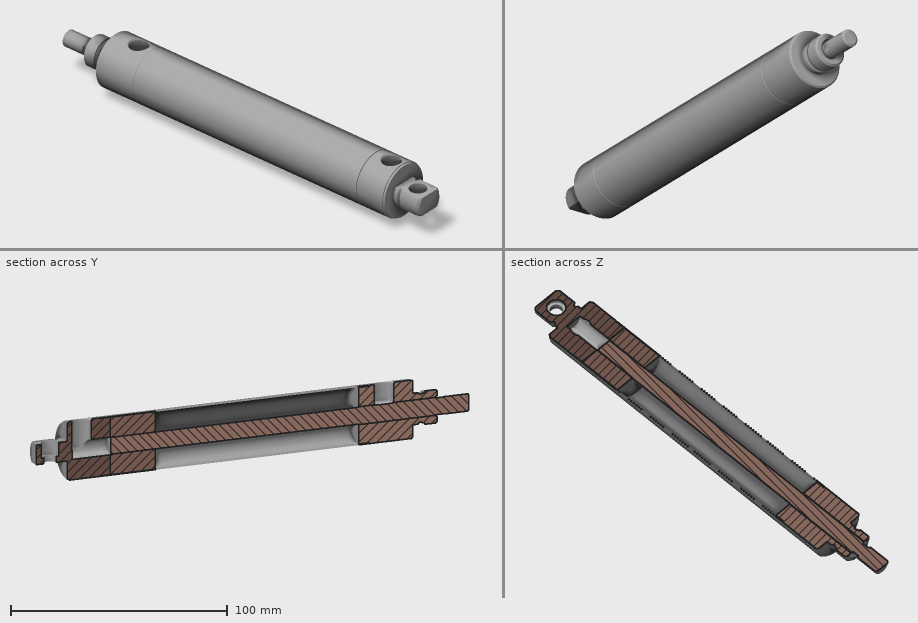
import cadquery as cq

overall_length = 219.0
body_radius = 14.13

wall = 0.5
bore_radius = body_radius - wall
tube_front = 51.0
tube_rear = 186.5

head_front = 28.5
head_bevel = 0.77
joint_bevel_length = 0.55
joint_bevel_depth = 0.2
spigot_length = 5.0

collar_radius = 8.0
collar_front = 16.0
collar_rear = 22.5
collar_bevel = 0.9
runout_radius = 7.2
runout_length = 1.5
relief_radius = 6.8
relief_length = 1.0
stub_radius = 7.7
stub_bevel = 0.7
rod_countersink_radius = 5.3
rod_countersink_depth = 1.0

cap_rear = 203.5
cap_step_length = 1.0
cap_step_radius = 13.5
cap_shoulder_bevel = 0.5
passage_radius = 4.2
passage_end_wall = 2.8

tang_thickness = 9.6
tang_stub_end = 205.5
tang_relief_radius = 6.5
tang_relief_bevel = 0.7
tang_front = 207.7
tang_end_bevel = 1.0
pin_x = 212.0
pin_hole_radius = 3.0
pin_counterbore_radius = 4.4
pin_counterbore_depth = 6.5

port_radius = 4.8
port_mouth_radius = 5.37
port_mouth_depth = 0.9
front_port_x = 43.2
rear_port_x = 196.0
front_port_depth = 9.6
drill_tip_height = 2.8

rod_radius = 4.2
stud_radius = 4.27
stud_length = 12.5
stud_bevel_length = 0.7
stud_tip_radius = 3.3
flats_length = collar_front - stud_length
flats_width = 6.8
piston_length = 22.8
piston_rear = tube_rear - spigot_length
piston_front = piston_rear - piston_length

clearance = 4 * body_radius


def turned(outline):
    """Solid of revolution about X, from (x, radius) points listed front to rear."""
    start = (outline[0][0], 0)
    end = (outline[-1][0], 0)
    profile = cq.Workplane("XY").polyline([start, *outline, end]).close()
    return profile.revolve(360, (0, 0, 0), (1, 0, 0))


def cylinder_along_x(radius, start, end):
    return cq.Workplane("YZ").workplane(offset=start).circle(radius).extrude(end - start)


def port(x, floor):
    """Vertical port with a countersunk mouth, from the floor height up to the top of the body."""
    mouth_floor = body_radius - port_mouth_depth
    bore = cq.Workplane("XY").workplane(offset=floor).center(x, 0).circle(port_radius)
    bore = bore.extrude(body_radius - floor)
    mouth = cq.Solid.makeCone(port_radius, port_mouth_radius, port_mouth_depth, cq.Vector(x, 0, mouth_floor))
    return bore.union(cq.Workplane(mouth))


def drill_tip(x, top):
    """Conical bottom of a drilled port, pointing down from the given height."""
    tip = cq.Vector(x, 0, top - drill_tip_height)
    return cq.Workplane(cq.Solid.makeCone(0, port_radius, drill_tip_height, tip))


def make_head():
    runout_end = collar_rear + runout_length
    relief_end = runout_end + relief_length
    spigot_rear = tube_front + spigot_length
    head = turned([
        (collar_front, collar_radius - collar_bevel),
        (collar_front + collar_bevel, collar_radius),
        (collar_rear, collar_radius),
        (collar_rear, runout_radius),
        (runout_end, runout_radius),
        (runout_end, relief_radius),
        (relief_end, relief_radius),
        (relief_end + stub_bevel, stub_radius),
        (head_front, stub_radius),
        (head_front, body_radius - head_bevel),
        (head_front + head_bevel, body_radius),
        (tube_front - joint_bevel_length, body_radius),
        (tube_front, body_radius - joint_bevel_depth),
        (tube_front, bore_radius),
        (spigot_rear, bore_radius),
    ])
    head = head.cut(cylinder_along_x(rod_radius, collar_front, spigot_rear))
    countersink = turned([
        (collar_front, rod_countersink_radius),
        (collar_front + rod_countersink_depth, rod_radius),
    ])
    port_floor = body_radius - front_port_depth
    head = head.cut(countersink).cut(port(front_port_x, port_floor))
    return head.cut(drill_tip(front_port_x, port_floor))


def make_tube():
    tube = turned([
        (tube_front, body_radius - joint_bevel_depth),
        (tube_front + joint_bevel_length, body_radius),
        (tube_rear, body_radius),
    ])
    return tube.cut(cylinder_along_x(bore_radius, tube_front, tube_rear))


def tang_side_cuts():
    """Material above and below the flat tang."""
    length = overall_length - cap_rear
    blank = cq.Workplane("XY").box(length, clearance, clearance, centered=(False, True, True))
    tang = cq.Workplane("XY").box(length, clearance, tang_thickness, centered=(False, True, True))
    return blank.cut(tang).translate((cap_rear, 0, 0))


def pin_hole():
    """Cross hole through the tang, counterbored from the top."""
    tang_top = tang_thickness / 2
    base = cq.Workplane("XY").workplane(offset=tang_top).center(pin_x, 0)
    hole = base.circle(pin_hole_radius).extrude(-tang_thickness)
    return hole.union(base.circle(pin_counterbore_radius).extrude(-pin_counterbore_depth))


def make_cap():
    spigot_front = tube_rear - spigot_length
    step_front = cap_rear - cap_step_length
    cap = turned([
        (spigot_front, bore_radius),
        (tube_rear, bore_radius),
        (tube_rear + cap_shoulder_bevel, body_radius),
        (step_front, body_radius),
        (step_front, cap_step_radius),
        (cap_rear, cap_step_radius),
        (cap_rear, stub_radius),
        (tang_stub_end, stub_radius),
        (tang_stub_end + tang_relief_bevel, tang_relief_radius),
        (tang_front - tang_relief_bevel, tang_relief_radius),
        (tang_front, collar_radius),
        (overall_length - tang_end_bevel, collar_radius),
        (overall_length, collar_radius - tang_end_bevel),
    ])
    passage = cylinder_along_x(passage_radius, spigot_front, cap_rear - passage_end_wall)
    return cap.cut(tang_side_cuts()).cut(pin_hole()).cut(passage).cut(port(rear_port_x, 0))


def make_rod():
    rod = turned([
        (0, stud_tip_radius),
        (stud_bevel_length, stud_radius),
        (stud_length, stud_radius),
        (stud_length, rod_radius),
        (piston_rear, rod_radius),
    ])
    blank = cq.Workplane("XY").box(flats_length, clearance, clearance, centered=(False, True, True))
    kept = cq.Workplane("XY").box(flats_length, flats_width, clearance, centered=(False, True, True))
    return rod.cut(blank.cut(kept).translate((stud_length, 0, 0)))


def make_piston():
    piston = cylinder_along_x(bore_radius, piston_front, piston_rear)
    return piston.cut(cylinder_along_x(rod_radius, piston_front, piston_rear))


head = make_head()
tube = make_tube()
cap = make_cap()
rod = make_rod()
piston = make_piston()

result = cq.Compound.makeCompound([head.val(), tube.val(), cap.val(), rod.val(), piston.val()])